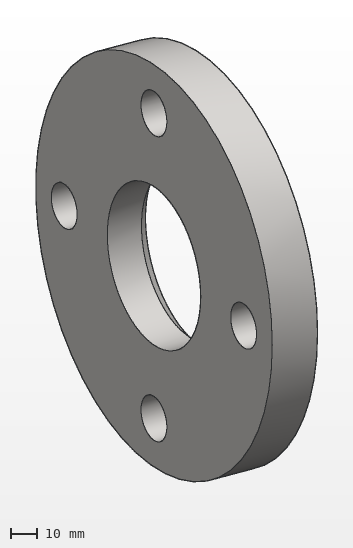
import cadquery as cq

outer_diameter = 165.0
thickness = 20.0
bore_diameter = 65.0
bore_chamfer = 5.0
bolt_circle_diameter = 125.0
bolt_hole_diameter = 18.0
bolt_hole_count = 4

disc = (
    cq.Workplane("XZ")
    .circle(outer_diameter / 2)
    .circle(bore_diameter / 2)
    .extrude(thickness)
)

bolt_holes = (
    cq.Workplane("XZ")
    .polarArray(bolt_circle_diameter / 2, 0, 360, bolt_hole_count)
    .circle(bolt_hole_diameter / 2)
    .extrude(thickness)
)

back_bore_edge = cq.selectors.RadiusNthSelector(0)
chamfered_disc = disc.faces(">Y").edges(back_bore_edge).chamfer(bore_chamfer)

result = chamfered_disc.cut(bolt_holes)